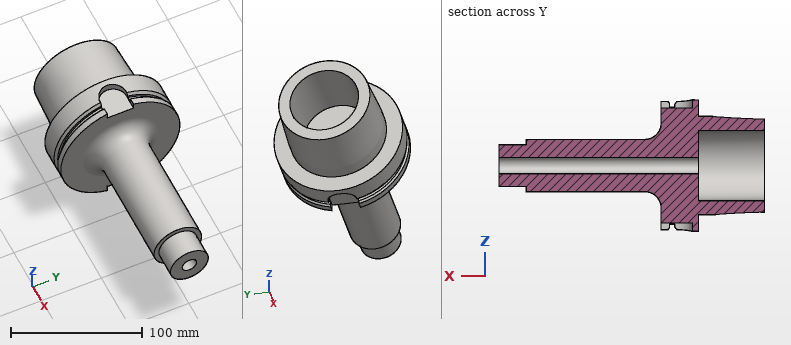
import cadquery as cq


total_length = 202.0
taper_end = 39.5
flange_start = 50.0
flange_end = 78.7
neck_end = 181.3

taper_tip_radius = 35.5
collar_radius = 37.5
flange_radius = 50.0
neck_radius = 20.0
tip_radius = 16.0
neck_fillet = 12.1

groove_start = 68.5
groove_end = 72.0
groove_radius = 46.0
front_chamfer_length = 1.8
front_chamfer_depth = 2.2
rear_chamfer_length = 1.2
rear_chamfer_depth = 1.6

socket_radius = 26.7
socket_depth = flange_start
through_hole_radius = 6.0

slot_width = 22.0
slot_start = 55.0
slot_floor = 43.8


def turned_body():
    """Revolve the outer half profile about the X axis."""
    profile = (
        cq.Workplane("XY")
        .lineTo(0, taper_tip_radius)
        .lineTo(taper_end, collar_radius)
        .lineTo(flange_start, collar_radius)
        .lineTo(flange_start, flange_radius)
        .lineTo(groove_start - front_chamfer_length, flange_radius)
        .lineTo(groove_start, flange_radius - front_chamfer_depth)
        .lineTo(groove_start, groove_radius)
        .lineTo(groove_end, groove_radius)
        .lineTo(groove_end, flange_radius - rear_chamfer_depth)
        .lineTo(groove_end + rear_chamfer_length, flange_radius)
        .lineTo(flange_end, flange_radius)
        .lineTo(flange_end, neck_radius + neck_fillet)
        .radiusArc((flange_end + neck_fillet, neck_radius), -neck_fillet)
        .lineTo(neck_end, neck_radius)
        .lineTo(neck_end, tip_radius)
        .lineTo(total_length, tip_radius)
        .lineTo(total_length, 0)
        .close()
    )
    return profile.revolve(360, (0, 0, 0), (1, 0, 0))


def bore(radius, depth):
    """Round cutter entering from the taper end."""
    return cq.Workplane("YZ").circle(radius).extrude(depth)


def drive_slot(side):
    """Round-ended cutter, open at the flange rear; side is +1 (top) or -1 (bottom)."""
    half_width = slot_width / 2
    arc_end = slot_start + half_width
    return (
        cq.Workplane("XY")
        .workplane(offset=side * slot_floor)
        .moveTo(flange_end, half_width)
        .lineTo(arc_end, half_width)
        .threePointArc((slot_start, 0), (arc_end, -half_width))
        .lineTo(flange_end, -half_width)
        .close()
        .extrude(side * (flange_radius - slot_floor))
    )


result = turned_body()
result = result.cut(bore(socket_radius, socket_depth))
result = result.cut(bore(through_hole_radius, total_length))
for side in (1, -1):
    result = result.cut(drive_slot(side))